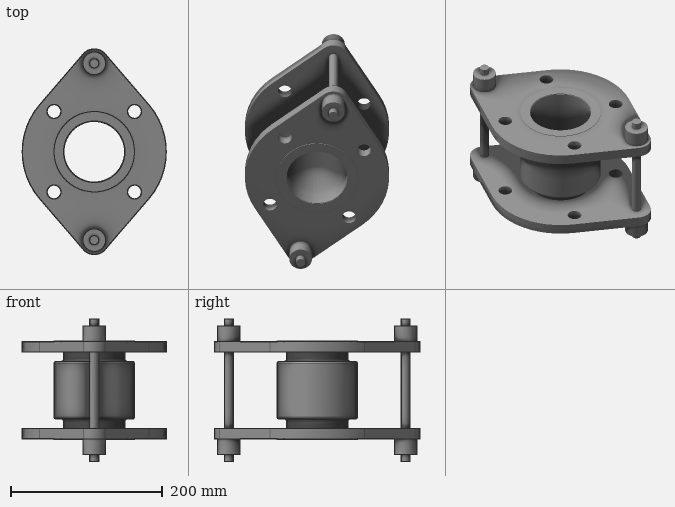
import cadquery as cq
import math

face_to_face = 130.0
rod_length = 188.0

plate_thickness = 14.0
plate_radius = 95.0
ear_radius = 19.0
rod_offset = 116.5
bolt_circle_diameter = 150.0
bolt_hole_diameter = 18.0
bolt_count = 4

body_radius = 53.0
body_length = 76.0
body_fillet = 3.0
neck_radius = 40.5
bore_radius = 40.0
seal_thickness = 0.8
seal_bore_radius = neck_radius

rod_diameter = 12.0
nut_diameter = 30.0
nut_height = 20.5

plate_outer_z = face_to_face / 2 - seal_thickness
plate_inner_z = plate_outer_z - plate_thickness


def flange_plate(bottom_z):
    """Round plate drawn out tangentially into two rounded ears along Y, with bolt holes."""
    sine = (plate_radius - ear_radius) / rod_offset
    cosine = math.sqrt(1 - sine**2)
    side_x = plate_radius * cosine
    side_y = plate_radius * sine
    ear_x = ear_radius * cosine
    ear_y = rod_offset + ear_radius * sine
    tip_y = rod_offset + ear_radius
    plate = (
        cq.Workplane("XY", origin=(0, 0, bottom_z))
        .moveTo(side_x, -side_y)
        .threePointArc((plate_radius, 0), (side_x, side_y))
        .lineTo(ear_x, ear_y)
        .threePointArc((0, tip_y), (-ear_x, ear_y))
        .lineTo(-side_x, side_y)
        .threePointArc((-plate_radius, 0), (-side_x, -side_y))
        .lineTo(-ear_x, -ear_y)
        .threePointArc((0, -tip_y), (ear_x, -ear_y))
        .close()
        .extrude(plate_thickness)
    )
    first_hole_angle = 180 / bolt_count
    bolt_holes = (
        cq.Workplane("XY", origin=(0, 0, bottom_z))
        .polarArray(bolt_circle_diameter / 2, first_hole_angle, 360, bolt_count)
        .circle(bolt_hole_diameter / 2)
        .extrude(plate_thickness)
    )
    return plate.cut(bolt_holes)


def cylinder(radius, bottom_z, height, y=0):
    """Cylinder along Z whose axis lies in the plane X = 0."""
    return cq.Workplane("XY", origin=(0, y, bottom_z)).circle(radius).extrude(height)


def body():
    """Solid body of revolution: sealing faces, necks and the filleted middle."""
    middle = cylinder(body_radius, -body_length / 2, body_length)
    neck = cylinder(neck_radius, -plate_outer_z, 2 * plate_outer_z)
    shoulders = middle.union(neck).faces("|Z").faces("not(<Z or >Z)")
    rounded_body = shoulders.edges().fillet(body_fillet)
    top_seal = cylinder(body_radius, plate_outer_z, seal_thickness)
    bottom_seal = cylinder(body_radius, -face_to_face / 2, seal_thickness)
    return rounded_body.union(top_seal).union(bottom_seal)


def tie_rod(y):
    """Rod along Z with a round nut against the outer side of each plate."""
    rod = cylinder(rod_diameter / 2, -rod_length / 2, rod_length, y)
    top_nut = cylinder(nut_diameter / 2, plate_outer_z, nut_height, y)
    bottom_nut = cylinder(nut_diameter / 2, -plate_outer_z - nut_height, nut_height, y)
    return rod.union(top_nut).union(bottom_nut)


def bore():
    """Through bore, slightly wider across each sealing face."""
    through = cylinder(bore_radius, -face_to_face / 2, face_to_face)
    top_step = cylinder(seal_bore_radius, plate_outer_z, seal_thickness)
    bottom_step = cylinder(seal_bore_radius, -face_to_face / 2, seal_thickness)
    return through.union(top_step).union(bottom_step)


result = body()
for plate_bottom_z in (plate_inner_z, -plate_outer_z):
    result = result.union(flange_plate(plate_bottom_z))
for rod_y in (-rod_offset, rod_offset):
    result = result.union(tie_rod(rod_y))
result = result.cut(bore())